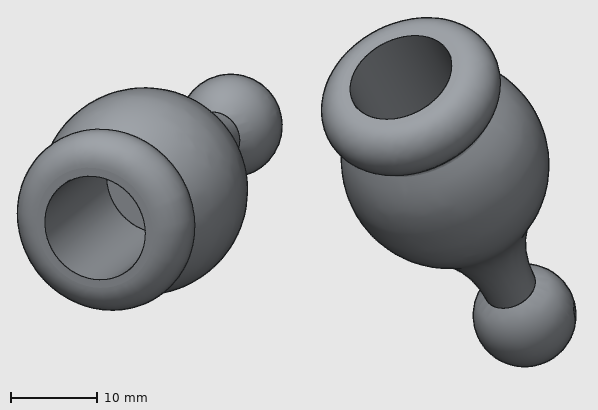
import cadquery as cq
import math

total_length = 49.95

ball_radius = 6.0
ball_center_y = total_length - ball_radius

neck_radius = 3.1
neck_arc_radius = 21.0
neck_arc_center_r = neck_radius + neck_arc_radius
neck_top_y = ball_center_y - math.sqrt(ball_radius**2 - neck_radius**2)

belly_radius = 12.0
belly_arc_radius = 13.5
belly_arc_center_r = belly_radius - belly_arc_radius
belly_center_y = neck_top_y - math.sqrt(
    (neck_arc_radius + belly_arc_radius) ** 2 - (neck_arc_center_r - belly_arc_center_r) ** 2
)

ring_tube_radius = 3.55
ring_center_r = 7.25
ring_fillet_radius = 0.5

bore_diameter = 12.5
bore_depth = 20.0


def point_on_arc(center, radius, angle):
    """Point at the given angle (radians from the outward radial direction) on an arc."""
    return (center[0] + radius * math.cos(angle), center[1] + radius * math.sin(angle))


def arc_crossing(center_a, radius_a, center_b, radius_b):
    """Crossing point of two circles that lies farther from the axis."""
    dr = center_b[0] - center_a[0]
    dy = center_b[1] - center_a[1]
    spacing = math.hypot(dr, dy)
    along = (radius_a**2 - radius_b**2 + spacing**2) / (2 * spacing)
    across = math.sqrt(radius_a**2 - along**2)
    base_r = center_a[0] + along * dr / spacing
    base_y = center_a[1] + along * dy / spacing
    offset_r = across * dy / spacing
    offset_y = across * dr / spacing
    return max((base_r + offset_r, base_y - offset_y), (base_r - offset_r, base_y + offset_y))


def make_stem():
    """Ring, belly and neck turned about the Y axis, with the bore in the open end."""
    ring_center = (ring_center_r, ring_tube_radius)
    belly_center = (belly_arc_center_r, belly_center_y)
    neck_center = (neck_arc_center_r, neck_top_y)

    crease = arc_crossing(ring_center, ring_tube_radius, belly_center, belly_arc_radius)
    tangent_angle = math.atan2(neck_top_y - belly_center_y, neck_arc_center_r - belly_arc_center_r)
    belly_top = point_on_arc(belly_center, belly_arc_radius, tangent_angle)
    neck_middle = point_on_arc(neck_center, neck_arc_radius, math.pi + tangent_angle / 2)

    stem = (
        cq.Workplane("XY")
        .moveTo(0, 0)
        .lineTo(ring_center_r, 0)
        .threePointArc((ring_center_r + ring_tube_radius, ring_tube_radius), crease)
        .threePointArc((belly_radius, belly_center_y), belly_top)
        .threePointArc(neck_middle, (neck_radius, neck_top_y))
        .lineTo(0, neck_top_y)
        .close()
        .revolve(360, (0, 0), (0, 1))
    )

    crease_zone = cq.selectors.BoxSelector(
        (-belly_radius, crease[1] - ring_fillet_radius, -belly_radius),
        (belly_radius, crease[1] + ring_fillet_radius, belly_radius),
    )
    stem = stem.edges("%CIRCLE").edges(crease_zone).fillet(ring_fillet_radius)

    bore = cq.Workplane("XZ").circle(bore_diameter / 2).extrude(-bore_depth)
    return stem.cut(bore)


def make_ball():
    """Ball with a flat where it sits on the end of the neck."""
    ball = cq.Workplane("XY").sphere(ball_radius).translate((0, ball_center_y, 0))
    below_seat = cq.Workplane("XZ").circle(belly_radius).extrude(-neck_top_y)
    return ball.cut(below_seat)


stem = make_stem()
ball = make_ball()

result = cq.Compound.makeCompound([stem.val(), ball.val()])